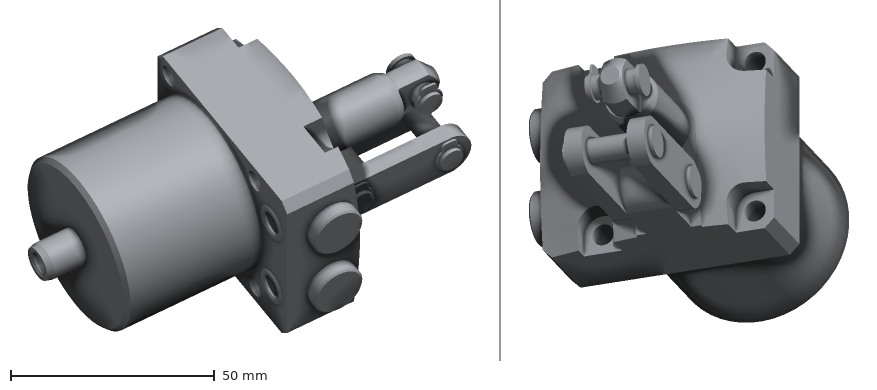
import cadquery as cq
import math


FLANGE_LEFT = -25.0
FLANGE_RIGHT = 35.1
FLANGE_HEIGHT = 50.0
FLANGE_DEPTH = 28.2
FLANGE_CORNER = 2.5
NOSE_RADIUS = 8.6
NOSE_SLOPE = math.tan(math.radians(15))

BOLT_OFFSET = 20.0
BOLT_DIAMETER = 5.6
NOTCH_RADIUS = 5.0
NOTCH_FLOOR = 17.3

BARREL_DIAMETER = 47.0
BARREL_END = -39.3
BARREL_CHAMFER = 1.2
FLARE_DIAMETER = 47.8
FLARE_LENGTH = 0.4

PLUG_DIAMETER = 14.0
PLUG_END = 38.8
PLUG_Y = 12.7
PLUG_Z = 11.1
PLUG_CHAMFER = 0.5
SEAL_X = 28.0
SEAL_Z = 12.0
SEAL_HEIGHT = 0.4
SEAL_OUTER_RADIUS = 5.1
SEAL_INNER_RADIUS = 3.1
SEAL_BEVEL = 0.5
SEAL_RECESS = 0.6

ROD_RADIUS = 7.0
ROD_SHOULDER = 52.0
ROD_LEAD_IN = ROD_SHOULDER - 2.1
ROD_BEVEL = ROD_SHOULDER - 1.4
ROD_BEVEL_RADIUS = 6.8
ROD_SHOULDER_RADIUS = 6.2
EYE_RADIUS = 6.1
EYE_TIP = 64.6
EYE_CHAMFER = 3.6
EYE_THICKNESS = 6.0
EYE_FILLET = 0.6

TAIL_RADIUS = 5.0
TAIL_END = -50.3
TAIL_BEVEL_LENGTH = 1.8
TAIL_BEVEL_DEPTH = 0.5
TAIL_HOLE_RADIUS = 2.9
TAIL_HOLE_DEPTH = 14.3
TAIL_HOLE_CHAMFER = 0.6

LINK_END = 68.6
LINK_END_RADIUS = 6.5
LINK_HEIGHT = 12.8
LINK_GAP = 11.9
LINK_THICKNESS = 4.6
LINK_PITCH = 25.9
LINK_Z = (LINK_HEIGHT - FLANGE_HEIGHT) / 2
FRONT_PIN_Y = LINK_END - LINK_END_RADIUS
LUG_PIN_Y = FRONT_PIN_Y - LINK_PITCH
LUG_PAD_TOP = -11.1

PIN_DIAMETER = 6.4
PIN_HEAD_DIAMETER = 8.1
PIN_HEAD_THICKNESS = 1.1
PIN_RING_DIAMETER = 7.9
PIN_RING_THICKNESS = 0.6
PIN_TIP_LENGTH = 1.1
PIN_RING_EAR_WIDTH = 4.8
PIN_RING_EAR_REACH = 5.7
PIN_RING_EAR_ROUNDING = 1.4
ROD_PIN_Y = 59.0
ROD_PIN_GRIP = 11.9
LINK_PIN_GRIP = LINK_GAP + 2 * LINK_THICKNESS


def box(x_min, x_max, y_min, y_max, z_min, z_max):
    size = (x_max - x_min, y_max - y_min, z_max - z_min)
    return cq.Workplane("XY").box(*size, centered=False).translate((x_min, y_min, z_min))


def y_cylinder(x, z, radius, y_min, y_max):
    return cq.Workplane("XZ", origin=(x, y_min, z)).circle(radius).extrude(y_min - y_max)


def x_cylinder(y, z, radius, x_min, x_max):
    return cq.Workplane("YZ", origin=(x_min, y, z)).circle(radius).extrude(x_max - x_min)


def y_revolve(profile):
    """Turn a closed (radius, y) outline about the Y axis."""
    return cq.Workplane("XY").polyline(profile).close().revolve(360, (0, 0), (0, 1))


def make_pin(y, z, grip):
    """Pin along X: head on the -X side, eared retaining ring on the +X side, `grip` apart."""
    ring_end = grip / 2 + PIN_RING_THICKNESS
    shaft = x_cylinder(y, z, PIN_DIAMETER / 2, -grip / 2, ring_end + PIN_TIP_LENGTH)
    head = x_cylinder(y, z, PIN_HEAD_DIAMETER / 2, -grip / 2 - PIN_HEAD_THICKNESS, -grip / 2)
    ring = x_cylinder(y, z, PIN_RING_DIAMETER / 2, grip / 2, ring_end)
    half_ear = PIN_RING_EAR_WIDTH / 2
    ear = box(grip / 2, ring_end, y - half_ear, y + half_ear, z, z + PIN_RING_EAR_REACH)
    ear = ear.faces(">Z").edges("|X").fillet(PIN_RING_EAR_ROUNDING)
    return shaft.union(head).union(ring).union(ear)


def make_flange():
    """Block with chamfered corners whose front is cut back by a cone around a flat nose."""
    half = FLANGE_HEIGHT / 2
    block = box(FLANGE_LEFT, FLANGE_RIGHT, 0, FLANGE_DEPTH, -half, half)
    block = block.edges("|Y").chamfer(FLANGE_CORNER)
    reach = math.hypot(FLANGE_RIGHT, FLANGE_HEIGHT)
    cone_drop = (reach - NOSE_RADIUS) * NOSE_SLOPE
    cone = y_revolve(
        [
            (0, 0),
            (reach, 0),
            (reach, FLANGE_DEPTH - cone_drop),
            (NOSE_RADIUS, FLANGE_DEPTH),
            (0, FLANGE_DEPTH),
        ]
    )
    return block.intersect(cone)


def make_lug():
    """Tongue between the links, on a sloped pad that stands on the cone."""
    bottom = -FLANGE_HEIGHT / 2
    pad_drop = (LUG_PAD_TOP - bottom) * NOSE_SLOPE
    pad = (
        cq.Workplane("YZ", origin=(-NOSE_RADIUS, 0, 0))
        .polyline(
            [
                (NOTCH_FLOOR, 0),
                (FLANGE_DEPTH, 0),
                (FLANGE_DEPTH, LUG_PAD_TOP),
                (FLANGE_DEPTH - pad_drop, bottom),
                (NOTCH_FLOOR, bottom),
            ]
        )
        .close()
        .extrude(2 * NOSE_RADIUS)
    )
    tongue = link_plate(-LINK_GAP / 2, LINK_GAP, NOTCH_FLOOR, LUG_PIN_Y + LINK_END_RADIUS, False)
    return pad.union(tongue)


def link_plate(x_min, thickness, y_min, y_max, round_rear):
    """Bar along Y with a rounded front end and, when asked, a rounded rear end."""
    half = LINK_HEIGHT / 2
    arc_inset = LINK_END_RADIUS - math.sqrt(LINK_END_RADIUS**2 - half**2)
    outline = cq.Workplane("YZ", origin=(x_min, 0, LINK_Z))
    if round_rear:
        outline = outline.moveTo(y_min + arc_inset, -half)
        outline = outline.threePointArc((y_min, 0), (y_min + arc_inset, half))
    else:
        outline = outline.moveTo(y_min, -half).lineTo(y_min, half)
    outline = outline.lineTo(y_max - arc_inset, half)
    outline = outline.threePointArc((y_max, 0), (y_max - arc_inset, -half))
    return outline.close().extrude(thickness)


def cut_bolt_holes(body):
    """Four bolt holes, each with a notch for the screw head.

    Every notch opens to the nearer Z side, and the left ones also open to the -X side.
    """
    edge = FLANGE_HEIGHT / 2
    right = BOLT_OFFSET
    for side in (1, -1):
        for x, notch_left in ((-right, FLANGE_LEFT), (right, right - NOTCH_RADIUS)):
            z = side * BOLT_OFFSET
            body = body.cut(y_cylinder(x, z, BOLT_DIAMETER / 2, 0, FLANGE_DEPTH))
            body = body.cut(y_cylinder(x, z, NOTCH_RADIUS, NOTCH_FLOOR, FLANGE_DEPTH))
            z_min, z_max = sorted((z, side * edge))
            body = body.cut(box(notch_left, x + NOTCH_RADIUS, NOTCH_FLOOR, FLANGE_DEPTH, z_min, z_max))
        z_min, z_max = sorted((side * (BOLT_OFFSET - NOTCH_RADIUS), side * edge))
        body = body.cut(box(FLANGE_LEFT, -right, NOTCH_FLOOR, FLANGE_DEPTH, z_min, z_max))
    return body


def make_barrel():
    """Barrel with a chamfered rear end and a slight flare against the flange."""
    barrel = y_cylinder(0, 0, BARREL_DIAMETER / 2, BARREL_END, 0).faces("<Y").chamfer(BARREL_CHAMFER)
    flare = y_revolve(
        [(0, 0), (FLARE_DIAMETER / 2, 0), (BARREL_DIAMETER / 2, -FLARE_LENGTH), (0, -FLARE_LENGTH)]
    )
    return barrel.union(flare)


def make_plug(z):
    plug = x_cylinder(PLUG_Y, z, PLUG_DIAMETER / 2, FLANGE_RIGHT, PLUG_END)
    return plug.faces(">X").chamfer(PLUG_CHAMFER)


def make_seal(z):
    """Seal ring on the rear face, bevelled outside and inside."""
    ring = y_revolve(
        [
            (SEAL_INNER_RADIUS, 0),
            (SEAL_OUTER_RADIUS, 0),
            (SEAL_OUTER_RADIUS - SEAL_BEVEL, -SEAL_HEIGHT),
            (SEAL_INNER_RADIUS + SEAL_BEVEL, -SEAL_HEIGHT),
        ]
    )
    return ring.translate((SEAL_X, 0, z))


def make_seal_recess(z):
    """Shallow round recess in the rear face inside a seal ring."""
    return y_cylinder(SEAL_X, z, SEAL_INNER_RADIUS, 0, SEAL_RECESS)


def make_rod():
    """Front end of the piston rod: a round shank, then a flattened and chamfered eye."""
    shank = y_revolve(
        [
            (0, 0),
            (ROD_RADIUS, 0),
            (ROD_RADIUS, ROD_LEAD_IN),
            (ROD_BEVEL_RADIUS, ROD_BEVEL),
            (ROD_SHOULDER_RADIUS, ROD_SHOULDER),
            (0, ROD_SHOULDER),
        ]
    )
    eye = y_cylinder(0, 0, EYE_RADIUS, ROD_SHOULDER, EYE_TIP).faces(">Y").chamfer(EYE_CHAMFER)
    half = EYE_THICKNESS / 2
    eye = eye.intersect(box(-half, half, ROD_SHOULDER, EYE_TIP, -EYE_RADIUS, EYE_RADIUS))
    root_top = ROD_SHOULDER + EYE_FILLET
    root_half = half + EYE_FILLET
    root = (
        cq.Workplane("XY")
        .moveTo(-root_half, ROD_SHOULDER)
        .radiusArc((-half, root_top), -EYE_FILLET)
        .lineTo(half, root_top)
        .radiusArc((root_half, ROD_SHOULDER), -EYE_FILLET)
        .close()
        .extrude(EYE_RADIUS, both=True)
        .intersect(y_cylinder(0, 0, EYE_RADIUS, ROD_SHOULDER, root_top))
    )
    return shank.union(eye).union(root)


def make_tail():
    """Rear end of the piston rod with a slender bevel."""
    return y_revolve(
        [
            (0, BARREL_END),
            (TAIL_RADIUS, BARREL_END),
            (TAIL_RADIUS, TAIL_END + TAIL_BEVEL_LENGTH),
            (TAIL_RADIUS - TAIL_BEVEL_DEPTH, TAIL_END),
            (0, TAIL_END),
        ]
    )


def make_tail_hole():
    """Blind hole in the rear end, chamfered at its mouth."""
    hole_end = TAIL_END + TAIL_HOLE_DEPTH
    return y_revolve(
        [
            (0, TAIL_END),
            (TAIL_HOLE_RADIUS + TAIL_HOLE_CHAMFER, TAIL_END),
            (TAIL_HOLE_RADIUS, TAIL_END + TAIL_HOLE_CHAMFER),
            (TAIL_HOLE_RADIUS, hole_end),
            (0, hole_end),
        ]
    )


def make_cylinder():
    """Clamp cylinder: housing, piston rod and the pin fixed in the rod eye."""
    body = cut_bolt_holes(make_flange().union(make_lug()))
    body = body.union(make_barrel())
    for side in (1, -1):
        body = body.union(make_plug(side * PLUG_Z))
        body = body.union(make_seal(side * SEAL_Z))
        body = body.cut(make_seal_recess(side * SEAL_Z))
    body = body.union(make_rod()).union(make_tail()).cut(make_tail_hole())
    body = body.union(make_pin(ROD_PIN_Y, 0, ROD_PIN_GRIP))
    return body.cut(x_cylinder(LUG_PIN_Y, LINK_Z, PIN_DIAMETER / 2, -LINK_GAP / 2, LINK_GAP / 2))


def make_link(x_min):
    """Flat link with a hole for each of the two link pins."""
    link = link_plate(x_min, LINK_THICKNESS, LUG_PIN_Y - LINK_END_RADIUS, LINK_END, True)
    for y in (FRONT_PIN_Y, LUG_PIN_Y):
        link = link.cut(x_cylinder(y, LINK_Z, PIN_DIAMETER / 2, x_min, x_min + LINK_THICKNESS))
    return link


cylinder = make_cylinder()
links = [make_link(x_min) for x_min in (-LINK_GAP / 2 - LINK_THICKNESS, LINK_GAP / 2)]
link_pins = [make_pin(y, LINK_Z, LINK_PIN_GRIP) for y in (FRONT_PIN_Y, LUG_PIN_Y)]

result = cq.Compound.makeCompound([body.val() for body in [cylinder, *links, *link_pins]])